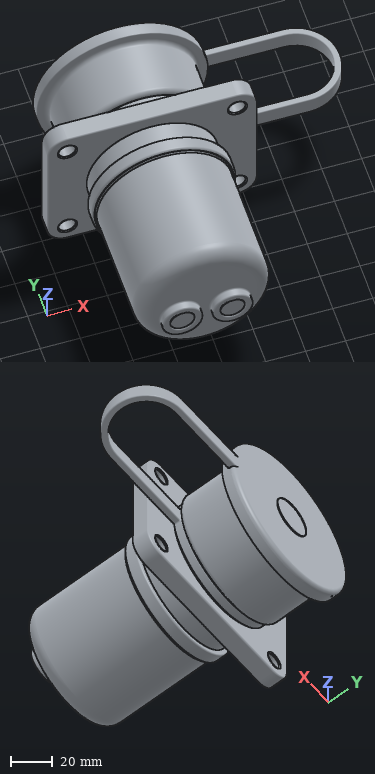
import cadquery as cq


OVERALL_LENGTH = 156.9

PLATE_WIDTH = 105.0
PLATE_HEIGHT = 80.0
PLATE_THICKNESS = 10.0
PLATE_CORNER = 10.0
PLATE_EDGE = 1.0
HOLE_DIAMETER = 8.5
HOLE_CHAMFER = 0.6
HOLE_SPACING_X = 85.0
HOLE_SPACING_Z = 60.0

NECK_RADIUS = 33.0
COLLAR_RADIUS = 36.1
COLLAR_BACK = -11.0
COLLAR_LENGTH = 7.4
COLLAR_BACK_EDGE = 1.0
COLLAR_FRONT_EDGE = 1.4
COLLAR_FOOT = 1.0
BODY_RADIUS = 34.0
BODY_FRONT = -82.7
BODY_ROUND = 8.0

TERMINAL_RADIUS = 10.0
TERMINAL_LENGTH = 4.4
TERMINAL_EDGE = 1.0
TERMINAL_OFFSET_X = 12.5
TERMINAL_Z = -6.0
RECESS_MOUTH_RADIUS = 7.0
RECESS_DEPTH = 1.0

RING_RADIUS = 34.8
RING_FRONT = 11.1
RING_FRONT_EDGE = 0.3
RING_BACK_EDGE = 0.8
CAP_RADIUS = 37.0
CAP_FRONT = 16.3
CAP_BACK = 55.2
CAP_FRONT_ROUND = 2.7
RIM_RADIUS = 43.0
RIM_LENGTH = 8.0
RIM_BACK_ROUND = 2.7
RIM_FRONT_ROUND = 0.5
RIM_FOOT = 2.5
PAD_RADIUS = 10.8
PAD_HEIGHT = 0.5

STRAP_WIDTH = 10.0
STRAP_THICKNESS = 4.0
STRAP_EDGE = 0.6
STRAP_FOOT = 0.8
STRAP_BOTTOM = 11.3
STRAP_END_RADIUS = (CAP_BACK - STRAP_BOTTOM) / 2
STRAP_END_X = OVERALL_LENGTH - PLATE_WIDTH / 2 - STRAP_END_RADIUS


def disc(radius, front, back):
    """Solid cylinder along the socket axis between two Y positions."""
    return cq.Workplane("XZ", origin=(0, back, 0)).circle(radius).extrude(back - front)


def mounting_plate():
    plate = (
        cq.Workplane("XZ", origin=(0, PLATE_THICKNESS, 0))
        .rect(PLATE_WIDTH, PLATE_HEIGHT)
        .extrude(PLATE_THICKNESS)
        .edges("|Y")
        .fillet(PLATE_CORNER)
        .faces("<Y or >Y")
        .edges()
        .fillet(PLATE_EDGE)
    )
    holes = (
        cq.Workplane("XZ", origin=(0, PLATE_THICKNESS, 0))
        .rect(HOLE_SPACING_X, HOLE_SPACING_Z, forConstruction=True)
        .vertices()
        .circle(HOLE_DIAMETER / 2)
        .extrude(PLATE_THICKNESS)
    )
    plate = plate.cut(holes)
    mouths = plate.faces("<Y or >Y").edges(cq.selectors.RadiusNthSelector(0))
    return mouths.chamfer(HOLE_CHAMFER)


def socket_body():
    neck = disc(NECK_RADIUS, COLLAR_BACK, CAP_FRONT)
    body = disc(BODY_RADIUS, BODY_FRONT, COLLAR_BACK).faces("<Y").edges().fillet(BODY_ROUND)
    collar_front = COLLAR_BACK - COLLAR_LENGTH
    collar = (
        disc(COLLAR_RADIUS, collar_front, COLLAR_BACK)
        .faces(">Y")
        .edges()
        .fillet(COLLAR_BACK_EDGE)
        .faces("<Y")
        .edges()
        .fillet(COLLAR_FRONT_EDGE)
    )
    foot = cq.Workplane(
        cq.Solid.makeCone(
            BODY_RADIUS,
            BODY_RADIUS + COLLAR_FOOT,
            COLLAR_FOOT,
            pnt=cq.Vector(0, collar_front - COLLAR_FOOT, 0),
            dir=cq.Vector(0, 1, 0),
        )
    )
    return neck.union(body).union(collar).union(foot)


def terminal():
    """Round boss with a rounded edge, a flared foot and a shallow bowl, profiled as radius against Y."""
    tip = BODY_FRONT - TERMINAL_LENGTH
    root = BODY_FRONT + TERMINAL_LENGTH
    foot_radius = TERMINAL_RADIUS + TERMINAL_EDGE
    floor_radius = RECESS_MOUTH_RADIUS - RECESS_DEPTH
    return (
        cq.Workplane("XY")
        .moveTo(0, root)
        .lineTo(foot_radius, root)
        .lineTo(foot_radius, BODY_FRONT)
        .radiusArc((TERMINAL_RADIUS, BODY_FRONT - TERMINAL_EDGE), -TERMINAL_EDGE)
        .lineTo(TERMINAL_RADIUS, tip + TERMINAL_EDGE)
        .radiusArc((TERMINAL_RADIUS - TERMINAL_EDGE, tip), TERMINAL_EDGE)
        .lineTo(RECESS_MOUTH_RADIUS, tip)
        .radiusArc((floor_radius, tip + RECESS_DEPTH), RECESS_DEPTH)
        .lineTo(0, tip + RECESS_DEPTH)
        .close()
        .revolve(360, (0, 0, 0), (0, 1, 0))
    )


def cap():
    rim_front = CAP_BACK - RIM_LENGTH
    profile = (
        cq.Workplane("XY")
        .moveTo(0, CAP_FRONT)
        .lineTo(CAP_RADIUS - CAP_FRONT_ROUND, CAP_FRONT)
        .radiusArc((CAP_RADIUS, CAP_FRONT + CAP_FRONT_ROUND), -CAP_FRONT_ROUND)
        .lineTo(CAP_RADIUS, rim_front - RIM_FOOT)
        .radiusArc((CAP_RADIUS + RIM_FOOT, rim_front), RIM_FOOT)
        .lineTo(RIM_RADIUS - RIM_FRONT_ROUND, rim_front)
        .radiusArc((RIM_RADIUS, rim_front + RIM_FRONT_ROUND), -RIM_FRONT_ROUND)
        .lineTo(RIM_RADIUS, CAP_BACK - RIM_BACK_ROUND)
        .radiusArc((RIM_RADIUS - RIM_BACK_ROUND, CAP_BACK), -RIM_BACK_ROUND)
        .lineTo(0, CAP_BACK)
        .close()
    )
    pad = disc(PAD_RADIUS, CAP_BACK, CAP_BACK + PAD_HEIGHT)
    return profile.revolve(360, (0, 0, 0), (0, 1, 0)).union(pad)


def strap_ring():
    ring = disc(RING_RADIUS, RING_FRONT, CAP_FRONT)
    ring = ring.faces("<Y").edges().fillet(RING_FRONT_EDGE)
    return ring.faces(">Y").edges().fillet(RING_BACK_EDGE)


def strap_outline(inset):
    """Solid U-shaped tongue, smaller than the strap's outer face by the inset."""
    bottom = STRAP_BOTTOM + inset
    top = CAP_BACK - inset
    radius = STRAP_END_RADIUS - inset
    return (
        cq.Workplane("XY", origin=(0, 0, -STRAP_WIDTH / 2))
        .moveTo(NECK_RADIUS, top)
        .lineTo(STRAP_END_X, top)
        .radiusArc((STRAP_END_X, bottom), radius)
        .lineTo(NECK_RADIUS, bottom)
        .close()
        .extrude(STRAP_WIDTH)
    )


def strap():
    band = strap_outline(0).cut(strap_outline(STRAP_THICKNESS))
    return band.faces("<Z or >Z").edges("not |Y").fillet(STRAP_EDGE)


def strapped_ring():
    """Ring and strap together, with a small fillet where the strap leaves the ring."""
    joined = strap_ring().union(strap())
    half_width = STRAP_WIDTH / 2 + STRAP_FOOT
    joint = cq.selectors.BoxSelector(
        (RING_RADIUS - STRAP_FOOT, RING_FRONT - STRAP_FOOT, -half_width),
        (RING_RADIUS + STRAP_FOOT, CAP_FRONT + STRAP_FOOT, half_width),
    )
    return joined.edges(joint).fillet(STRAP_FOOT)


result = mounting_plate().union(socket_body()).union(strapped_ring()).union(cap())
for side in (-1, 1):
    result = result.union(terminal().translate((side * TERMINAL_OFFSET_X, 0, TERMINAL_Z)))